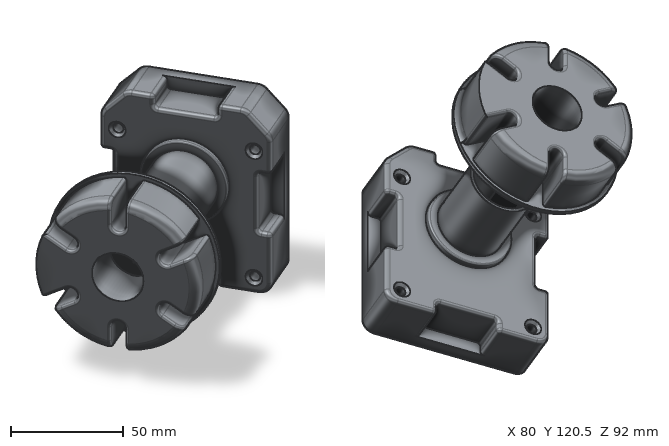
import cadquery as cq
import math


tolerance = 0.01

total_length = 120.5
housing_depth = 25.0
collar_length = 2.9
sleeve_end_depth = 63.0
knob_length = 25.0
knob_back_depth = total_length - knob_length

housing_width = 80.0
housing_height = 92.0
housing_top = housing_width / 2
housing_mid_z = housing_top - housing_height / 2
top_chamfer = 12.0
corner_radius = 6.0
edge_fillet = 2.0

pocket_half_width = 14.8
pocket_depth = 6.4
pocket_length = 18.9
pocket_floor_radius = 1.7

screw_spacing = 64.0
screw_mid_z = -12.2
screw_radius = 2.4
screw_mouth_radius = 4.0
screw_mouth_depth = 1.6

collar_radius = 20.5
collar_edge = 0.8
sleeve_radius = 16.0
sleeve_bore_radius = 14.5

shaft_radius = 14.0
shaft_half_height = 12.3

cross_length = 11.3
cross_width = 2.3

flange_radius = housing_width / 2
flange_thickness = 2.0
hub_back_depth = knob_back_depth + flange_thickness
hub_radius = 38.2
hub_front_fillet = 5.0
bore_radius = 12.0
slot_count = 6
slot_half_width = 3.5
slot_end_center = 25.9
slot_edge_fillet = 1.5
foot_radius = 4.0


def plane_at(depth):
    """XZ sketch plane facing -Y at the given distance from the housing back."""
    return cq.Workplane("XZ", origin=(0, -depth, 0))


def pocket(half_span, angle):
    """Cutter for one rim pocket; at angle 0 it opens towards +Z, half_span above the centre."""
    width = 2 * pocket_half_width
    overshoot = edge_fillet
    block = (
        cq.Workplane("XY")
        .box(width, pocket_length, pocket_depth + overshoot, centered=(True, False, False))
        .edges("|Y and <Z").fillet(pocket_floor_radius)
        .translate((0, -housing_depth, half_span - pocket_depth))
    )
    turned = block.rotate((0, 0, 0), (0, 1, 0), angle)
    return turned.translate((0, 0, housing_mid_z))


def rounded_plate():
    half_width = housing_width / 2
    bottom = housing_top - housing_height
    plate = (
        plane_at(0)
        .moveTo(-half_width, bottom)
        .lineTo(half_width, bottom)
        .lineTo(half_width, housing_top - top_chamfer)
        .lineTo(half_width - top_chamfer, housing_top)
        .lineTo(top_chamfer - half_width, housing_top)
        .lineTo(-half_width, housing_top - top_chamfer)
        .close()
        .extrude(housing_depth)
    )
    return plate.edges("|Y").fillet(corner_radius)


def pocket_mouth_edges(plate):
    """Edges along Y where the pocket side walls meet the outer sides of the plate."""
    half_width = housing_width / 2
    half_height = housing_height / 2

    def at_mouth(edge):
        center = edge.Center()
        x = abs(center.x)
        z = abs(center.z - housing_mid_z)
        on_end = abs(z - half_height) < tolerance and abs(x - pocket_half_width) < tolerance
        on_side = abs(x - half_width) < tolerance and abs(z - pocket_half_width) < tolerance
        return on_end or on_side

    return [edge for edge in plate.edges("|Y").vals() if at_mouth(edge)]


def screw_hole(x, z):
    """Cutter for one countersunk hole through the plate."""
    shank = plane_at(0).center(x, z).circle(screw_radius).extrude(housing_depth)
    cone = cq.Solid.makeCone(
        screw_mouth_radius, screw_radius, screw_mouth_depth,
        pnt=cq.Vector(x, -housing_depth, z), dir=cq.Vector(0, 1, 0),
    )
    return shank.union(cq.Workplane(obj=cone))


def build_housing():
    plate = rounded_plate()
    for angle in (0, 90, 180, 270):
        half_span = housing_width / 2 if angle % 180 else housing_height / 2
        plate = plate.cut(pocket(half_span, angle))
    rounded = plate.edges("<Y").vals() + pocket_mouth_edges(plate)
    plate = plate.newObject(rounded).fillet(edge_fillet)

    half_spacing = screw_spacing / 2
    for x in (-half_spacing, half_spacing):
        for z in (screw_mid_z - half_spacing, screw_mid_z + half_spacing):
            plate = plate.cut(screw_hole(x, z))

    collar = plane_at(housing_depth).circle(collar_radius).extrude(collar_length)
    collar = collar.faces("<Y").edges().fillet(collar_edge)
    sleeve = plane_at(housing_depth).circle(sleeve_radius).extrude(sleeve_end_depth - housing_depth)
    bore = plane_at(0).circle(sleeve_bore_radius).extrude(sleeve_end_depth)
    return plate.union(collar).union(sleeve).cut(bore)


def build_shaft():
    rod = plane_at(0).circle(shaft_radius).extrude(knob_back_depth)
    flats = plane_at(0).rect(2 * shaft_radius, 2 * shaft_half_height).extrude(knob_back_depth)
    rod = rod.intersect(flats)
    for width, height in ((cross_length, cross_width), (cross_width, cross_length)):
        rod = rod.cut(plane_at(0).rect(width, height).extrude(knob_back_depth))
    return rod


def slots(half_width):
    """Cutters for the radial slots of the hub, in front of the flange."""
    reach = 2 * flange_radius
    slot = (
        plane_at(hub_back_depth)
        .moveTo(-half_width, reach)
        .lineTo(-half_width, slot_end_center)
        .threePointArc((0, slot_end_center - half_width), (half_width, slot_end_center))
        .lineTo(half_width, reach)
        .close()
        .extrude(total_length - hub_back_depth)
    )
    pitch = 360 / slot_count
    cutters = slot
    for index in range(1, slot_count):
        cutters = cutters.union(slot.rotate((0, 0, 0), (0, 1, 0), index * pitch))
    return cutters


def faces_minus_x(edge):
    center = edge.Center()
    return center.x < 0 and abs(center.z) < tolerance


def build_hub():
    hub = plane_at(hub_back_depth).circle(hub_radius).extrude(total_length - hub_back_depth)
    hub = hub.cut(slots(slot_half_width))

    rim = [
        edge for edge in hub.faces("<Y").edges("%CIRCLE").vals()
        if abs(edge.radius() - hub_radius) < tolerance and not faces_minus_x(edge)
    ]
    hub = hub.newObject(rim).fillet(hub_front_fillet)

    near_rim = hub_radius - 2 * hub_front_fillet
    slot_edges = []
    for edge in hub.edges().vals():
        center = edge.Center()
        reach = math.hypot(center.x, center.z)
        on_front = center.y < -total_length + tolerance
        is_rim = edge.geomType() == "CIRCLE" and edge.radius() > near_rim
        on_back = center.y > -hub_back_depth - tolerance
        down_corner = reach > near_rim and edge.geomType() != "CIRCLE" and not on_back
        if down_corner or (on_front and not is_rim):
            slot_edges.append(edge)
    return hub.newObject(slot_edges).fillet(slot_edge_fillet)


def build_foot():
    """Hollow-curved fillet from the flange rim up to the segment facing -X."""
    ledge = flange_radius - hub_radius
    foot_height = math.sqrt(2 * ledge * foot_radius - ledge**2)
    arc_center_radius = hub_radius + foot_radius
    half_angle = math.atan2(foot_height, foot_radius - ledge) / 2
    arc_middle = (
        arc_center_radius - foot_radius * math.cos(half_angle),
        -hub_back_depth - foot_height + foot_radius * math.sin(half_angle),
    )
    inner_radius = hub_radius - slot_edge_fillet
    foot = (
        cq.Workplane("XY")
        .moveTo(inner_radius, -hub_back_depth)
        .lineTo(flange_radius, -hub_back_depth)
        .threePointArc(arc_middle, (hub_radius, -hub_back_depth - foot_height))
        .lineTo(inner_radius, -hub_back_depth - foot_height)
        .close()
        .revolve(360, (0, 0, 0), (0, 1, 0))
    )
    return foot.cut(slots(slot_half_width + slot_edge_fillet)).solids("<X")


def build_knob():
    flange = plane_at(knob_back_depth).circle(flange_radius).extrude(flange_thickness)
    bore = plane_at(knob_back_depth).circle(bore_radius).extrude(knob_length)
    return flange.union(build_hub()).union(build_foot()).cut(bore)


housing = build_housing()
shaft = build_shaft()
knob = build_knob()
result = cq.Compound.makeCompound([body.solids().val() for body in (housing, shaft, knob)])